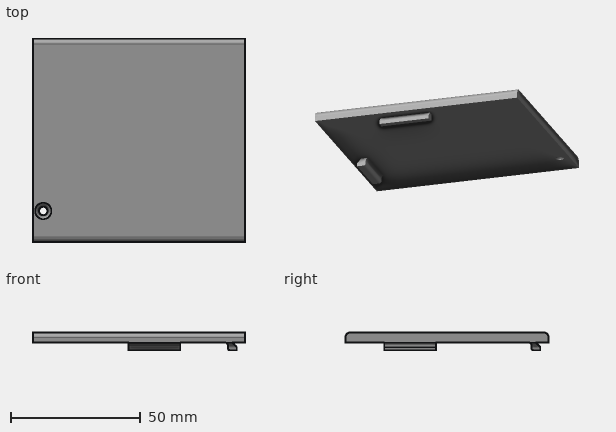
import cadquery as cq

PLATE_LENGTH = 81.8
PLATE_WIDTH = 78.4
PLATE_THICKNESS = 4.0
EDGE_RADIUS = 2.0

HOLE_X = 4.0
HOLE_Y = 12.0
HOLE_DIAMETER = 3.2
COUNTERSINK_DIAMETER = 6.3
COUNTERSINK_ANGLE = 90.0

CLIP_LENGTH = 20.0
CLIP_HEIGHT = 3.0
CLIP_NECK = 1.8
CLIP_REACH = 3.5
CLIP_RADIUS = 1.0
CLIP_SETBACK = 3.2
CLIP_SLOPE_HEIGHT = CLIP_REACH - CLIP_NECK
INNER_FACE_INSET = CLIP_SETBACK + CLIP_REACH
SIDE_CLIP_START_Y = 15.0
BACK_CLIP_START_X = 36.8


def make_plate():
    """Flat cover with the top edges at front and back rounded."""
    plate = cq.Workplane("XY").box(PLATE_LENGTH, PLATE_WIDTH, PLATE_THICKNESS, centered=False)
    return plate.faces(">Z").edges("|X").fillet(EDGE_RADIUS)


def cut_screw_hole(plate):
    """Countersunk through hole near the front left corner."""
    return (
        plate.faces(">Z")
        .workplane(origin=(HOLE_X, HOLE_Y, PLATE_THICKNESS))
        .cskHole(HOLE_DIAMETER, COUNTERSINK_DIAMETER, COUNTERSINK_ANGLE)
    )


def clip_profile(plane):
    """Hook outline from its inner face: local x points outward, local y points up."""
    return (
        cq.Workplane(plane)
        .moveTo(-CLIP_RADIUS, 0)
        .radiusArc((0, -CLIP_RADIUS), CLIP_RADIUS)
        .lineTo(0, CLIP_RADIUS - CLIP_HEIGHT)
        .radiusArc((CLIP_RADIUS, -CLIP_HEIGHT), -CLIP_RADIUS)
        .lineTo(CLIP_REACH, -CLIP_HEIGHT)
        .lineTo(CLIP_REACH, -CLIP_SLOPE_HEIGHT)
        .lineTo(CLIP_NECK, 0)
        .close()
    )


def make_clip(inner_corner, outward, along):
    """Hook that points outward and runs its full length from inner_corner."""
    plane = cq.Plane(origin=inner_corner, xDir=outward, normal=along)
    return clip_profile(plane).extrude(CLIP_LENGTH)


side_clip = make_clip(
    inner_corner=(PLATE_LENGTH - INNER_FACE_INSET, SIDE_CLIP_START_Y + CLIP_LENGTH, 0),
    outward=(1, 0, 0),
    along=(0, -1, 0),
)
back_clip = make_clip(
    inner_corner=(BACK_CLIP_START_X, PLATE_WIDTH - INNER_FACE_INSET, 0),
    outward=(0, 1, 0),
    along=(1, 0, 0),
)

result = cut_screw_hole(make_plate()).union(side_clip).union(back_clip)